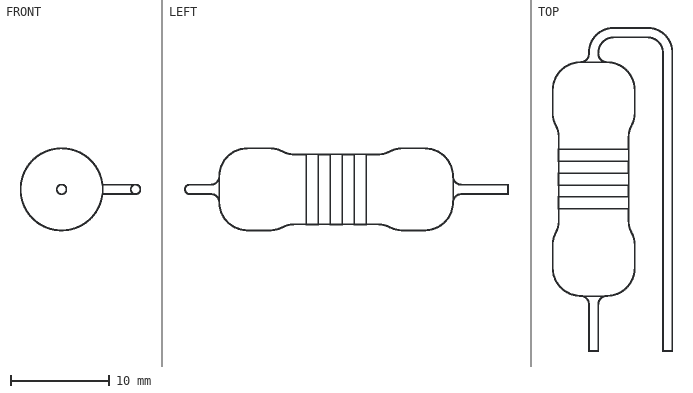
import cadquery as cq
import math

total_length = 32.9
lead_diameter = 1.0
lead_pitch = 7.55
bend_radius = 2.05

cap_diameter = 8.4
base_diameter = 7.15
band_diameter = 7.17
body_center = 17.5
body_length = 23.82
dome_radius = 2.85
band_count = 7
band_width = 1.22
meniscus_radius = 0.82

cap_radius = cap_diameter / 2
base_radius = base_diameter / 2
lead_radius = lead_diameter / 2
bands_length = band_count * band_width
half_body = body_length / 2

base_end = bands_length / 2
inflection = base_end + band_width
cap_start = inflection + band_width
dome_start = half_body - dome_radius
meniscus_end = half_body + meniscus_radius

inflection_radius = (base_radius + cap_radius) / 2


def half_body_solid(side):
    """Revolve one half of the body; side is +1 or -1 along Y."""
    def point(radius, distance):
        return (radius, body_center + side * distance)

    dome_center_radius = cap_radius - dome_radius
    diagonal = math.sqrt(0.5)
    dome_middle = point(dome_center_radius + dome_radius * diagonal, dome_start + dome_radius * diagonal)
    meniscus_middle = point(
        lead_radius + meniscus_radius * (1 - diagonal),
        meniscus_end - meniscus_radius * diagonal,
    )
    profile = (
        cq.Workplane("XY")
        .moveTo(*point(0, 0))
        .lineTo(*point(base_radius, 0))
        .lineTo(*point(base_radius, base_end))
        .tangentArcPoint(point(inflection_radius, inflection), relative=False)
        .tangentArcPoint(point(cap_radius, cap_start), relative=False)
        .lineTo(*point(cap_radius, dome_start))
        .threePointArc(dome_middle, point(dome_center_radius, half_body))
        .lineTo(*point(lead_radius + meniscus_radius, half_body))
        .threePointArc(meniscus_middle, point(lead_radius, meniscus_end))
        .lineTo(*point(0, meniscus_end))
        .close()
    )
    return profile.revolve(360, (0, 0, 0), (0, 1, 0))


def cylinder_along_y(diameter, start, length):
    return cq.Workplane("XZ", origin=(0, start, 0)).circle(diameter / 2).extrude(-length)


def color_bands():
    """Slightly raised rings on every other band position, starting with the second."""
    first = body_center - bands_length / 2
    bands = cq.Workplane("XY")
    for index in range(1, band_count, 2):
        bands = bands.add(cylinder_along_y(band_diameter, first + index * band_width, band_width))
    return bands.combine()


def bent_lead():
    """Lead leaving the far end, turned back alongside the body."""
    start = body_center + meniscus_end
    top = total_length - lead_radius
    bend_start = top - bend_radius
    path = (
        cq.Workplane("XY")
        .moveTo(0, start)
        .lineTo(0, bend_start)
        .tangentArcPoint((bend_radius, top), relative=False)
        .lineTo(lead_pitch - bend_radius, top)
        .tangentArcPoint((lead_pitch, bend_start), relative=False)
        .lineTo(lead_pitch, 0)
    )
    return cq.Workplane("XZ", origin=(0, start, 0)).circle(lead_radius).sweep(path)


body = half_body_solid(1).union(half_body_solid(-1)).union(color_bands())
straight_lead = cylinder_along_y(lead_diameter, 0, body_center - meniscus_end)
result = body.union(straight_lead).union(bent_lead())